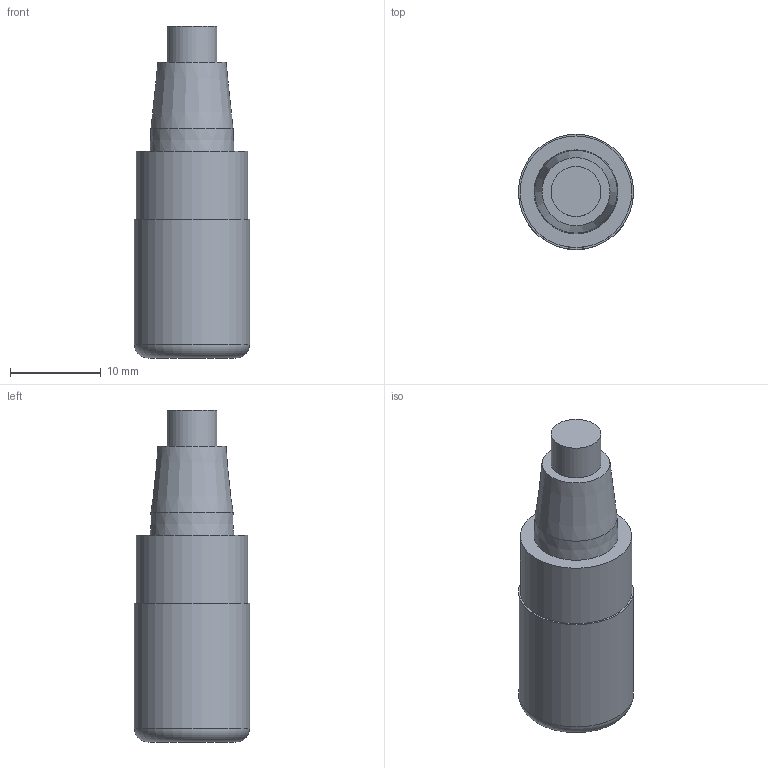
import cadquery as cq

BASE_ROUND = 1.5
SLEEVE_TOP = 15.3
COLLAR_TOP = 22.8
NECK_TOP = 25.3
TAPER_TOP = 32.6
CABLE_TOP = 36.6

SLEEVE_DIAMETER = 12.7
COLLAR_DIAMETER = 12.3
NECK_BASE_DIAMETER = 9.25
NECK_TOP_DIAMETER = 9.05
TAPER_TOP_DIAMETER = 7.5
CABLE_DIAMETER = 5.5


def make_shell():
    """Stepped round shell with a rounded base and a tapered strain relief."""
    sleeve_radius = SLEEVE_DIAMETER / 2
    profile = (
        cq.Workplane("XZ")
        .lineTo(sleeve_radius - BASE_ROUND, 0)
        .radiusArc((sleeve_radius, BASE_ROUND), -BASE_ROUND)
        .lineTo(sleeve_radius, SLEEVE_TOP)
        .lineTo(COLLAR_DIAMETER / 2, SLEEVE_TOP)
        .lineTo(COLLAR_DIAMETER / 2, COLLAR_TOP)
        .lineTo(NECK_BASE_DIAMETER / 2, COLLAR_TOP)
        .lineTo(NECK_TOP_DIAMETER / 2, NECK_TOP)
        .lineTo(TAPER_TOP_DIAMETER / 2, TAPER_TOP)
        .lineTo(0, TAPER_TOP)
        .close()
    )
    return profile.revolve(360, (0, 0, 0), (0, 1, 0))


def make_cable():
    """Plain round cable stub standing on the end of the strain relief."""
    cable_length = CABLE_TOP - TAPER_TOP
    return cq.Workplane("XY", origin=(0, 0, TAPER_TOP)).circle(CABLE_DIAMETER / 2).extrude(cable_length)


shell = make_shell()
cable = make_cable()

result = cq.Compound.makeCompound([shell.val(), cable.val()])